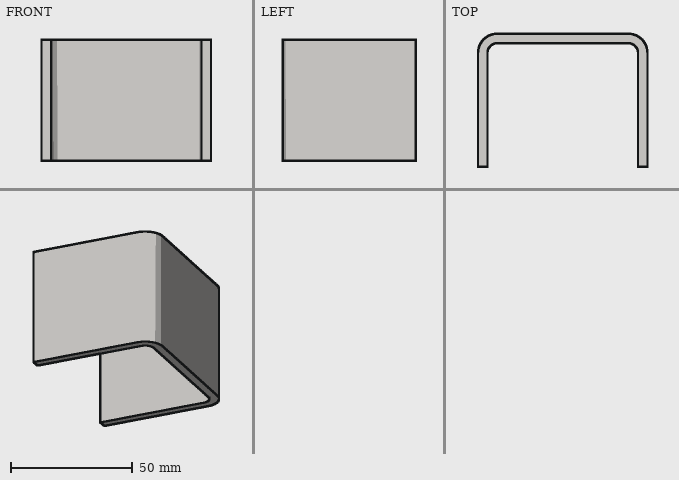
import cadquery as cq

width = 70.0
depth = 55.0
height = 50.0
thickness = 4.0
inner_bend_radius = 4.0
outer_bend_radius = inner_bend_radius + thickness


def rounded_back_block(block_width, block_depth, bend_radius):
    """Block starting at the leg tips (Y = 0), with its two back vertical edges rounded."""
    return (
        cq.Workplane("XY")
        .rect(block_width, block_depth)
        .extrude(height)
        .translate((0, block_depth / 2, 0))
        .edges("|Z and >Y")
        .fillet(bend_radius)
    )


outer_block = rounded_back_block(width, depth, outer_bend_radius)
inner_space = rounded_back_block(width - 2 * thickness, depth - thickness, inner_bend_radius)

result = outer_block.cut(inner_space)